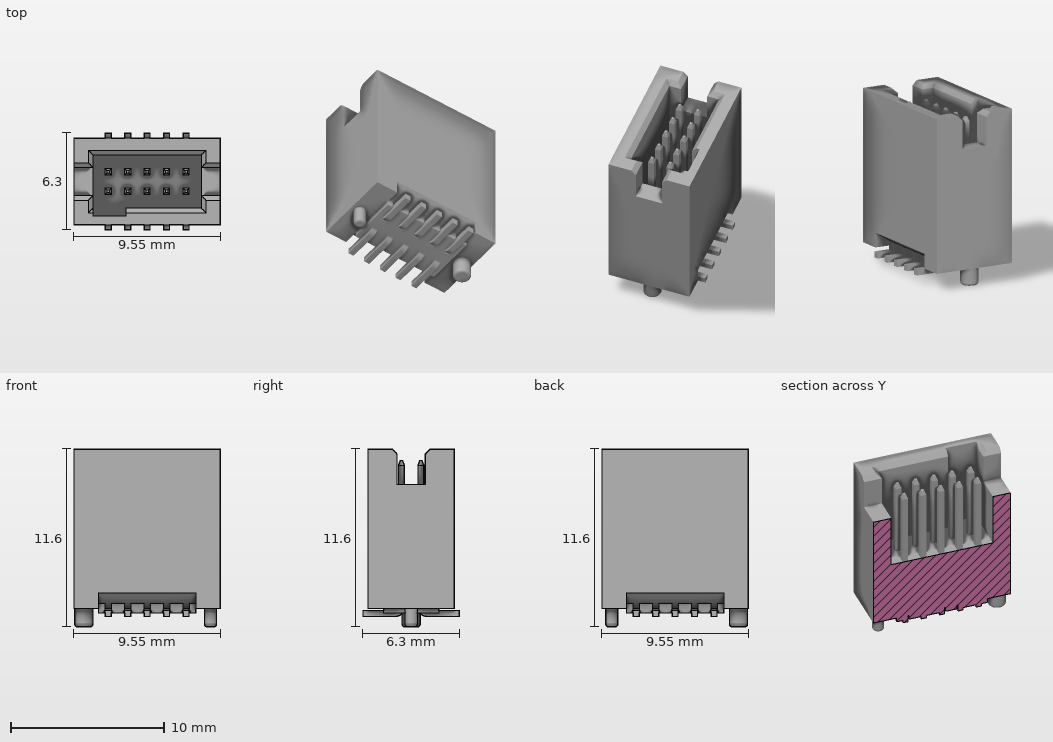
import cadquery as cq
import math

body_length = 9.55
body_width = 5.65
body_height = 10.4

cavity_length = 7.06
cavity_width = 3.46
cavity_depth = 6.0
rim_chamfer = 0.31

slot_width = 1.83
slot_depth = 2.3

key_length = 2.14
key_depth = 0.53

contacts_per_row = 5
pitch = 1.27
row_offset = pitch / 2
contact_size = 0.4
pin_top = body_height - 0.73
pin_taper_height = 0.33
pin_tip_size = 0.15
lead_span = 6.3
lead_bottom = -0.52
bend_inner_radius = 0.2

recess_length = contacts_per_row * pitch
recess_height = 1.0
recess_inner_height = 0.325
comb_width = 3.6
comb_drop = 0.3
groove_width = 0.43
groove_mouth_width = 0.6
groove_flare_height = 0.22
groove_flare_depth = 0.15

peg_spacing = 8.26
peg_length = 1.2
large_peg_diameter = 1.2
small_peg_diameter = 0.8
peg_edge_radius = 0.2

contact_positions = [(i - (contacts_per_row - 1) / 2) * pitch for i in range(contacts_per_row)]


def block(length, width, bottom, top):
    """Box centred on the Z axis between two heights."""
    return cq.Workplane("XY").box(length, width, top - bottom, (True, True, False)).translate((0, 0, bottom))


def along_x(points, length):
    """Prism with a (y, z) outline, centred on x = 0."""
    return cq.Workplane("YZ").polyline(points).close().extrude(length / 2, both=True)


def make_cavity():
    floor = body_height - cavity_depth
    cavity = block(cavity_length, cavity_width, floor, body_height)
    rim = (
        cq.Workplane("XY", origin=(0, 0, body_height - rim_chamfer))
        .rect(cavity_length, cavity_width)
        .workplane(offset=rim_chamfer)
        .rect(cavity_length + 2 * rim_chamfer, cavity_width + 2 * rim_chamfer)
        .loft(ruled=True)
    )
    keyway = cq.Workplane("XY").box(key_length, cavity_width / 2 + key_depth, cavity_depth, centered=False)
    keyway = keyway.translate((-cavity_length / 2, -cavity_width / 2 - key_depth, floor))
    return cavity.union(rim).union(keyway)


def make_side_slots():
    half = slot_width / 2
    outline = [
        (-half, body_height - slot_depth),
        (half, body_height - slot_depth),
        (half, body_height - rim_chamfer),
        (half + rim_chamfer, body_height),
        (-half - rim_chamfer, body_height),
        (-half, body_height - rim_chamfer),
    ]
    return along_x(outline, body_length)


def make_recess():
    """Recess along the -Y bottom edge; its roof falls towards the comb block."""
    outer = -body_width / 2
    inner = -comb_width / 2
    outline = [
        (outer, 0),
        (outer, recess_height),
        (inner, recess_inner_height),
        (inner, 0),
    ]
    return along_x(outline, recess_length)


def make_groove(x):
    """Lead groove in the -Y side of the comb block, ending at the inner face of the pin."""
    outer = -comb_width / 2
    inner = -row_offset + contact_size / 2
    groove = along_x([(outer, -comb_drop), (outer, 0), (inner, 0), (inner, -comb_drop)], groove_width)
    half = groove_width / 2
    mouth = groove_mouth_width / 2
    flare_top = groove_flare_height - comb_drop
    mouth_outline = [(-mouth, -comb_drop), (mouth, -comb_drop), (half, flare_top), (-half, flare_top)]
    inner_outline = [(-half, -comb_drop), (half, -comb_drop), (half, flare_top), (-half, flare_top)]
    flare = (
        cq.Workplane("XZ", origin=(0, outer, 0))
        .polyline(mouth_outline)
        .close()
        .workplane(offset=-groove_flare_depth)
        .polyline(inner_outline)
        .close()
        .loft(ruled=True)
    )
    return groove.union(flare).translate((x, 0, 0))


def make_groove_ramp(x):
    """Continues the sloped recess roof into the groove, down to the housing underside."""
    inner = -comb_width / 2
    slope = (recess_height - recess_inner_height) / (body_width / 2 + inner)
    ramp_end = inner + recess_inner_height / slope
    outline = [(inner, 0), (inner, recess_inner_height), (ramp_end, 0)]
    return along_x(outline, groove_width).translate((x, 0, 0))


def make_contact(x):
    """Contact of the -Y row: a tapered pin bent outwards into a solder lead."""
    outer_face = -row_offset - contact_size / 2
    inner_face = outer_face + contact_size
    bend_outer_radius = bend_inner_radius + contact_size
    bend_y = outer_face - bend_inner_radius
    bend_z = lead_bottom + bend_outer_radius
    lead_top = lead_bottom + contact_size
    shoulder = pin_top - pin_taper_height
    diagonal = math.sqrt(0.5)
    strip = (
        cq.Workplane("YZ")
        .moveTo(-lead_span / 2, lead_bottom)
        .lineTo(bend_y, lead_bottom)
        .threePointArc(
            (bend_y + bend_outer_radius * diagonal, bend_z - bend_outer_radius * diagonal),
            (inner_face, bend_z),
        )
        .lineTo(inner_face, shoulder)
        .lineTo(outer_face, shoulder)
        .lineTo(outer_face, bend_z)
        .threePointArc(
            (bend_y + bend_inner_radius * diagonal, bend_z - bend_inner_radius * diagonal),
            (bend_y, lead_top),
        )
        .lineTo(-lead_span / 2, lead_top)
        .close()
        .extrude(contact_size / 2, both=True)
    )
    tip = (
        cq.Workplane("XY", origin=(0, -row_offset, shoulder))
        .rect(contact_size, contact_size)
        .workplane(offset=pin_taper_height)
        .rect(pin_tip_size, pin_tip_size)
        .loft(ruled=True)
    )
    return strip.union(tip).translate((x, 0, 0))


def make_peg(x, diameter):
    peg = cq.Workplane("XY").circle(diameter / 2).extrude(-peg_length)
    return peg.faces("<Z").edges().fillet(peg_edge_radius).translate((x, 0, 0))


def both_sides(solid):
    """Pairs a -Y feature with its mirror image on the +Y side."""
    return solid.union(solid.mirror("XZ"))


housing = block(body_length, body_width, 0, body_height)
housing = housing.cut(make_cavity()).cut(make_side_slots())
housing = housing.cut(both_sides(make_recess()))
housing = housing.union(block(recess_length, comb_width, -comb_drop, 0))
for x in contact_positions:
    housing = housing.cut(both_sides(make_groove(x))).cut(both_sides(make_groove_ramp(x)))

housing = housing.union(make_peg(-peg_spacing / 2, large_peg_diameter))
housing = housing.union(make_peg(peg_spacing / 2, small_peg_diameter))
for x in contact_positions:
    housing = housing.union(both_sides(make_contact(x)))

result = housing